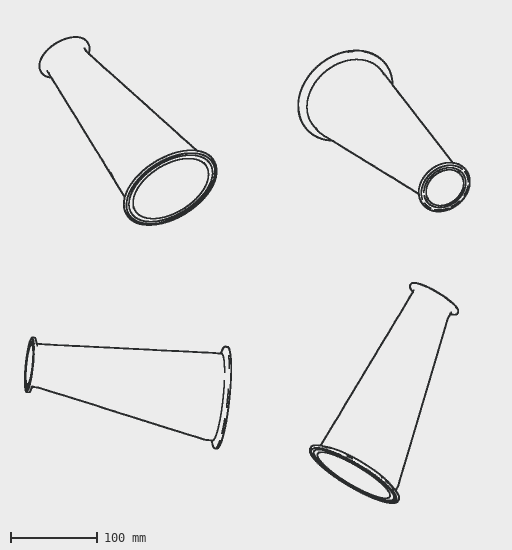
import cadquery as cq
import math

length = 231.8
large_flange_d = 119.0
large_tube_d = 101.5
large_bore_d = 97.3
small_flange_d = 64.0
small_tube_d = 50.8
small_bore_d = 47.5
large_collar = 15.8
small_collar = 12.7

rim_width = 2.8
clamp_angle = 20.0
rim_round = 0.5
neck_round = 0.7

groove_inset = 4.0
groove_width = 3.2
groove_depth = 1.5
lip_round = 0.2

select_margin = 0.2

small_axis_y = (small_tube_d - large_tube_d) / 2


def circles_at(x, max_radius):
    """Selector for the circular edges in the plane at x, up to the given radius."""
    reach = max_radius + select_margin
    return cq.selectors.BoxSelector(
        (x - select_margin, -reach, -reach), (x + select_margin, reach, reach), boundingbox=True
    )


def ferrule(flange_d, tube_d, collar):
    """Solid ferrule on the X axis, its grooved face at x = 0 and its neck toward +X."""
    flange_r = flange_d / 2
    tube_r = tube_d / 2
    groove_r = flange_r - groove_inset
    half_groove = groove_width / 2
    clamp_width = (flange_r - tube_r) * math.tan(math.radians(clamp_angle))
    neck_x = rim_width + clamp_width

    body = (
        cq.Workplane("XY")
        .polyline([
            (0, 0),
            (0, flange_r),
            (rim_width, flange_r),
            (neck_x, tube_r),
            (collar, tube_r),
            (collar, 0),
        ])
        .close()
        .revolve(360, (0, 0, 0), (1, 0, 0))
    )
    body = body.edges(circles_at(neck_x, tube_r)).fillet(neck_round)
    largest_circles = cq.selectors.RadiusNthSelector(-1)
    body = body.edges(largest_circles).fillet(rim_round)

    groove = (
        cq.Workplane("XY")
        .moveTo(0, groove_r - half_groove)
        .threePointArc((groove_depth, groove_r), (0, groove_r + half_groove))
        .close()
        .revolve(360, (0, 0, 0), (1, 0, 0))
    )
    groove_lips = circles_at(0, groove_r + half_groove)
    return body.cut(groove).edges(groove_lips).fillet(lip_round)


def oblique_cone(small_d, large_d):
    """Solid cone between the ferrules, joining the small axis to the large axis."""
    cone_length = length - small_collar - large_collar
    return (
        cq.Workplane("YZ", origin=(small_collar, 0, 0))
        .center(small_axis_y, 0)
        .circle(small_d / 2)
        .workplane(offset=cone_length)
        .center(-small_axis_y, 0)
        .circle(large_d / 2)
        .loft(ruled=True)
    )


def straight_bore(start_x, axis_y, diameter, depth):
    return cq.Workplane("YZ", origin=(start_x, axis_y, 0)).circle(diameter / 2).extrude(depth)


small_ferrule = ferrule(small_flange_d, small_tube_d, small_collar).translate((0, small_axis_y, 0))
large_ferrule = (
    ferrule(large_flange_d, large_tube_d, large_collar)
    .rotate((0, 0, 0), (0, 0, 1), 180)
    .translate((length, 0, 0))
)
outside = small_ferrule.union(oblique_cone(small_tube_d, large_tube_d)).union(large_ferrule)

passage = (
    straight_bore(0, small_axis_y, small_bore_d, small_collar)
    .union(oblique_cone(small_bore_d, large_bore_d))
    .union(straight_bore(length - large_collar, 0, large_bore_d, large_collar))
)

result = outside.cut(passage)